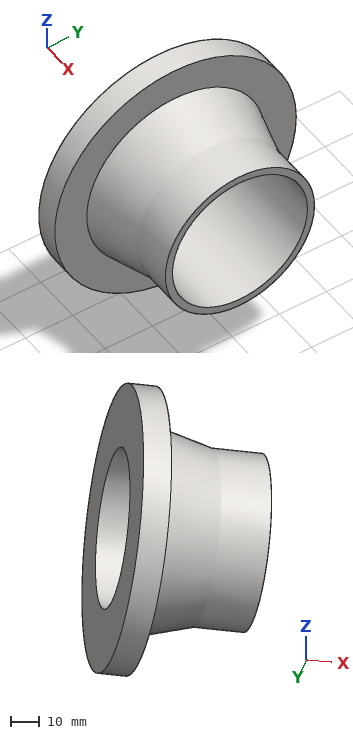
import cadquery as cq

overall_length = 50.0
flange_diameter = 102.0
flange_thickness = 10.0
hub_base_diameter = 75.0
spigot_diameter = 63.0
spigot_length = 18.0
bore_diameter = 57.0

hub_length = overall_length - flange_thickness - spigot_length


def flange():
    """Flat disc whose outer face lies at X = 0."""
    return cq.Workplane("YZ").circle(flange_diameter / 2).extrude(flange_thickness)


def tapered_hub():
    """Hub narrowing from the flange to the spigot."""
    return (
        cq.Workplane("YZ", origin=(flange_thickness, 0, 0))
        .circle(hub_base_diameter / 2)
        .workplane(offset=hub_length)
        .circle(spigot_diameter / 2)
        .loft()
    )


def spigot():
    """Plain pipe end beyond the hub."""
    spigot_start = flange_thickness + hub_length
    return (
        cq.Workplane("YZ", origin=(spigot_start, 0, 0))
        .circle(spigot_diameter / 2)
        .extrude(spigot_length)
    )


def bore():
    """Straight hole through the whole length."""
    return cq.Workplane("YZ").circle(bore_diameter / 2).extrude(overall_length)


result = flange().union(tapered_hub()).union(spigot()).cut(bore())